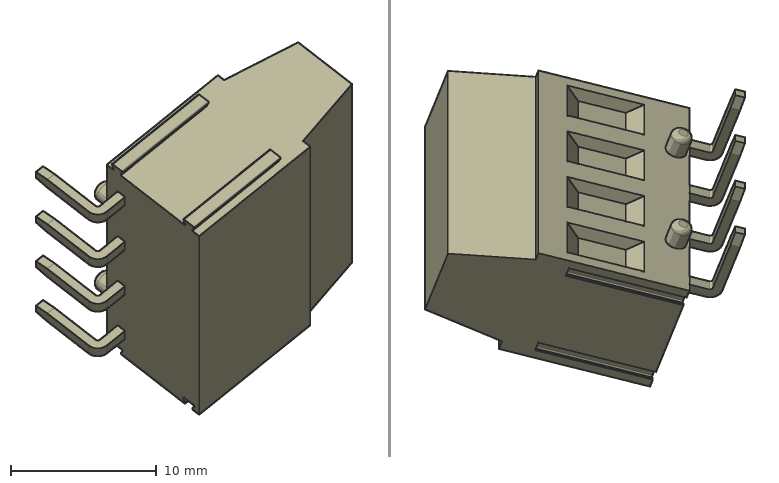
import cadquery as cq

pole_count = 4
pole_pitch = 5.0
overall_height = 20.55
housing_height = 20.0
housing_width = 8.88
housing_depth = 16.8
pole_heights = [housing_height / 2 + (i - (pole_count - 1) / 2) * pole_pitch for i in range(pole_count)]

taper_depth = 5.9
shoulder_y = housing_depth - taper_depth
taper_left_root = 0.6
taper_right_root = 8.18
taper_left_end = 1.93
taper_right_end = 7.11

rail_length = 8.5
rail_height = overall_height - housing_height
groove_depth = 0.6
left_rail_x = 0.99
right_rail_x = 7.87
left_rail_width = 1.0
right_rail_width = 1.07
rail_neck_width = 0.7
rail_neck_height = 0.15
rail_lip_height = 0.15
rail_corner_radius = 0.08

pocket_length = 5.57
pocket_height = 3.27
pocket_depth = 0.82
pocket_taper_y = 1.07
pocket_taper_z = 0.33
pocket_center_y = 6.05

peg_diameter = 1.5
peg_length = 1.65
peg_fillet = 0.41
peg_y = 0.99

pin_reach_x = 4.21
pin_reach_y = 2.65
pin_thickness = 0.7
pin_width = 0.9
pin_outer_x = 1.75
pin_inner_radius = 0.2
pin_outer_radius = pin_inner_radius + pin_thickness
pin_tip_length = 1.07
pin_tip_width = 0.65


def make_housing():
    """Prism with parallel sides at the front and a narrower tapered rear."""
    outline = [
        (0, 0),
        (housing_width, 0),
        (housing_width, shoulder_y),
        (taper_right_root, shoulder_y),
        (taper_right_end, housing_depth),
        (taper_left_end, housing_depth),
        (taper_left_root, shoulder_y),
        (0, shoulder_y),
    ]
    return cq.Workplane("XY").polyline(outline).close().extrude(housing_height)


def make_dovetail(center_x, base_z, width, height):
    """Dovetail bar running back from the front face: narrow neck, flared flanks, round-edged lip."""
    half_neck = rail_neck_width / 2
    half_width = width / 2
    half_flat = half_width - rail_corner_radius
    flank_top = height - rail_lip_height
    corner_start = height - rail_corner_radius
    profile = (
        cq.Workplane("XZ", origin=(center_x, 0, base_z))
        .moveTo(-half_neck, 0)
        .lineTo(half_neck, 0)
        .lineTo(half_neck, rail_neck_height)
        .lineTo(half_width, flank_top)
        .lineTo(half_width, corner_start)
        .radiusArc((half_flat, height), -rail_corner_radius)
        .lineTo(-half_flat, height)
        .radiusArc((-half_width, corner_start), -rail_corner_radius)
        .lineTo(-half_width, flank_top)
        .lineTo(-half_neck, rail_neck_height)
        .close()
    )
    return profile.extrude(-rail_length)


def make_pocket(center_z):
    """Rectangular funnel that narrows from the left side to a flat floor."""
    return (
        cq.Workplane("YZ", origin=(0, pocket_center_y, center_z))
        .rect(pocket_length, pocket_height)
        .workplane(offset=pocket_depth)
        .rect(pocket_length - 2 * pocket_taper_y, pocket_height - 2 * pocket_taper_z)
        .loft(ruled=True)
    )


def make_peg(center_z):
    """Round peg pointing to -X with a rounded end."""
    return (
        cq.Workplane("YZ", origin=(0, peg_y, center_z))
        .circle(peg_diameter / 2)
        .extrude(-peg_length)
        .faces("<X")
        .edges()
        .fillet(peg_fillet)
    )


def make_pin(center_z):
    """Flat strip leaving the front face, bent toward -X and narrowed at its tip."""
    pin_inner_x = pin_outer_x - pin_thickness
    pin_inner_y = pin_thickness - pin_reach_y
    bent_strip = (
        cq.Workplane("XY", origin=(0, 0, center_z - pin_width / 2))
        .moveTo(pin_outer_x, 0)
        .lineTo(pin_outer_x, pin_outer_radius - pin_reach_y)
        .radiusArc((pin_outer_x - pin_outer_radius, -pin_reach_y), pin_outer_radius)
        .lineTo(-pin_reach_x, -pin_reach_y)
        .lineTo(-pin_reach_x, pin_inner_y)
        .lineTo(pin_inner_x - pin_inner_radius, pin_inner_y)
        .radiusArc((pin_inner_x, pin_inner_y + pin_inner_radius), -pin_inner_radius)
        .lineTo(pin_inner_x, 0)
        .close()
        .extrude(pin_width)
    )
    taper_start_x = pin_tip_length - pin_reach_x
    side_outline = [
        (-pin_reach_x, -pin_tip_width / 2),
        (taper_start_x, -pin_width / 2),
        (pin_outer_x, -pin_width / 2),
        (pin_outer_x, pin_width / 2),
        (taper_start_x, pin_width / 2),
        (-pin_reach_x, pin_tip_width / 2),
    ]
    tapered_blank = (
        cq.Workplane("XZ", origin=(0, 0, center_z))
        .polyline(side_outline)
        .close()
        .extrude(pin_reach_y)
    )
    return bent_strip.intersect(tapered_blank)


result = make_housing()

for rail_x, rail_width in ((left_rail_x, left_rail_width), (right_rail_x, right_rail_width)):
    result = result.union(make_dovetail(rail_x, housing_height, rail_width, rail_height))
    result = result.cut(make_dovetail(rail_x, 0, rail_width, groove_depth))

for pole_z in pole_heights:
    result = result.cut(make_pocket(pole_z))
    result = result.union(make_pin(pole_z))

for lower_pole_z in pole_heights[::2]:
    result = result.union(make_peg(lower_pole_z + pole_pitch / 2))